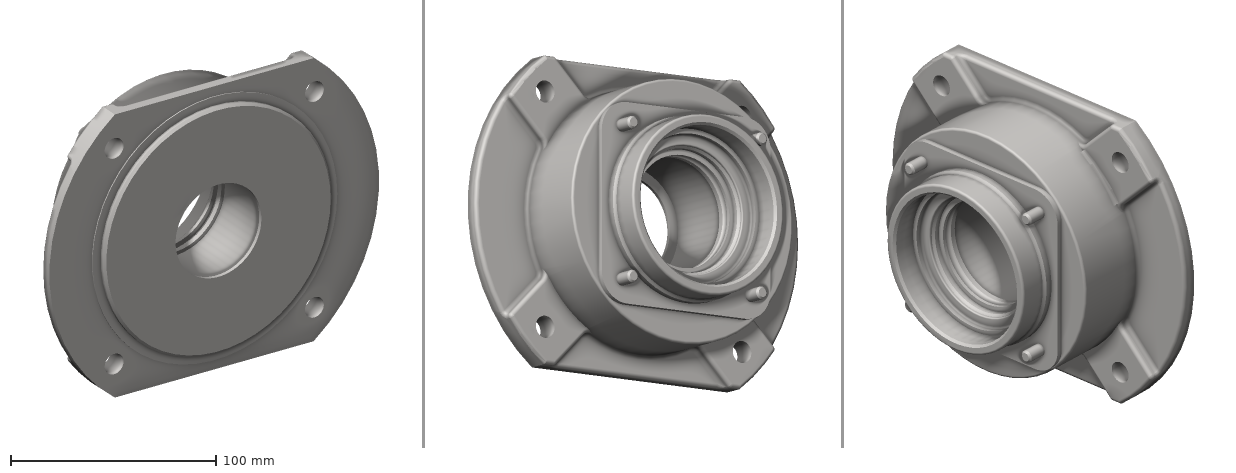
import cadquery as cq
import math


boss_front = 14.2
plate_front = 19.1
drum_front = 22.1
pad_front = 55.6
flange_front = 60.7
flange_back = 67.6
rim_back = 68.2
spigot_back = 71.39

flange_radius = 96.01
flange_half_height = 153.16 / 2
drum_radius = 65.5
drum_edge_radius = 1.3
rim_radius = 71.3
spigot_radius = 66.6
spigot_chamfer = 1.3
cast_radius = 2.0
shaft_bore_radius = 30.0
end_bore_radius = 25.0
end_wall = 2.0
pad_half_width = 17.5
pocket_corner_radius = 5.0
bolt_circle_radius = 82.5
bolt_hole_diameter = 11.0

plate_side = 100.0
plate_corner_radius = 15.0
boss_radius = 46.0
tube_radius = 44.7
tube_edge = 1.3
main_bore_radius = 39.5
bore_chamfer = 1.2

stud_circle_radius = 54.0
stud_radius = 3.2
stud_chamfer = 1.0
stud_front = 8.8
stud_back = 32.0

seal_front = 13.5
seal_back = 31.2
seal_cup_radius = 37.2
seal_cup_floor = 17.1
seal_cup_fillet = 1.1
seal_mouth_radius = 31.8
seal_mouth_rounding = 0.7
seal_cone_front = 18.6
seal_cone_back = 19.8
seal_throat_radius = 30.7
seal_throat_floor = 22.6
lip_radius = 28.0
front_lip_back = 24.4
rear_lip_front = 28.4

diagonal_angles = [45 + 90 * i for i in range(4)]
pocket_angles = [90 * i for i in range(4)]
filleted_pad_angle = 135

tolerance = 0.1


def disc(radius, x_from, x_to):
    return cq.Workplane("YZ", origin=(x_from, 0, 0)).circle(radius).extrude(x_to - x_from)


def on_diagonals(radius):
    """Four (y, z) points on the diagonals at the given distance from the axis."""
    return [
        (radius * math.cos(math.radians(a)), radius * math.sin(math.radians(a)))
        for a in diagonal_angles
    ]


def stud_solids(x_from):
    return (
        cq.Workplane("YZ", origin=(x_from, 0, 0))
        .pushPoints(on_diagonals(stud_circle_radius))
        .circle(stud_radius)
        .extrude(stud_back - x_from)
    )


def limited_height(body):
    """Trim a round body to the flat top and bottom of the flange."""
    height = 2 * flange_half_height
    return body.intersect(cq.Workplane("XY").box(4 * flange_back, 4 * flange_radius, height))


def make_pocket(angle):
    """Cutting tool for the recess between two pads, with rounded corners and foot."""
    reach = 2 * flange_radius
    corner = pad_half_width * math.sqrt(2)
    wedge = (
        cq.Workplane("YZ", origin=(pad_front, 0, 0))
        .transformed(rotate=(0, 0, angle))
        .polyline([(corner, 0), (corner + reach, reach), (corner + reach, -reach)])
        .close()
        .extrude(flange_front - pad_front)
    )
    pocket = wedge.cut(disc(drum_radius, 0, flange_back))

    def is_at_drum(edge):
        center = edge.Center()
        return math.hypot(center.y, center.z) < drum_radius + 1

    def is_inside_flange(edge):
        center = edge.Center()
        turn = math.radians(angle)
        distance = center.y * math.cos(turn) + center.z * math.sin(turn)
        return distance < corner + reach - 1

    drum_corners = [e for e in pocket.edges("|X").vals() if is_at_drum(e)]
    pocket = pocket.newObject(drum_corners).fillet(pocket_corner_radius)
    foot = [e for e in pocket.faces(">X").edges().vals() if is_inside_flange(e)]
    return pocket.newObject(foot).fillet(cast_radius)


def is_pocket_rim(edge):
    """True for the outer edges of the pocket floors."""
    box = edge.BoundingBox()
    middle = edge.positionAt(0.5)
    on_floor = abs(box.xmin - flange_front) < tolerance and abs(box.xmax - flange_front) < tolerance
    on_round_side = math.hypot(middle.y, middle.z) > flange_radius - tolerance
    on_flat_side = abs(middle.z) > flange_half_height - tolerance
    return on_floor and (on_round_side or on_flat_side)


def make_pad_fillet():
    """Fillet between the drum and the flat face of the pad at -Y, +Z."""
    section = (
        cq.Workplane("XY")
        .moveTo(pad_front - cast_radius, drum_radius)
        .radiusArc((pad_front, drum_radius + cast_radius), -cast_radius)
        .lineTo(pad_front, main_bore_radius)
        .lineTo(pad_front - cast_radius, main_bore_radius)
        .close()
    )
    ring = section.revolve(360, (0, 0, 0), (1, 0, 0))
    pad_flat = (
        cq.Workplane("YZ")
        .transformed(rotate=(0, 0, filleted_pad_angle))
        .center(flange_radius / 2, 0)
        .rect(flange_radius, 2 * (pad_half_width - cast_radius))
        .extrude(flange_back)
    )
    return ring.intersect(pad_flat)


def make_housing():
    body = limited_height(disc(flange_radius, pad_front, flange_back))
    for angle in pocket_angles:
        body = body.cut(make_pocket(angle))
    body = body.faces("<X").edges().fillet(cast_radius)
    rims = [e for e in body.edges().vals() if is_pocket_rim(e)]
    body = body.newObject(rims).fillet(cast_radius)

    drum = disc(drum_radius, drum_front, flange_back).faces("<X").edges().fillet(drum_edge_radius)
    body = body.union(drum)
    body = body.union(make_pad_fillet())
    body = body.union(disc(rim_radius, flange_back, rim_back))
    spigot = disc(spigot_radius, flange_back, spigot_back).faces(">X").chamfer(spigot_chamfer)
    body = body.union(spigot)

    body = body.cut(disc(main_bore_radius, 0, seal_back))
    body = body.cut(disc(shaft_bore_radius, 0, spigot_back - end_wall))
    body = body.cut(disc(end_bore_radius, 0, spigot_back))

    holes = (
        cq.Workplane("YZ")
        .pushPoints(on_diagonals(bolt_circle_radius))
        .circle(bolt_hole_diameter / 2)
        .extrude(flange_back)
    )
    return body.cut(holes).cut(stud_solids(plate_front))


def make_cap():
    plate = (
        cq.Workplane("YZ", origin=(plate_front, 0, 0))
        .rect(plate_side, plate_side)
        .extrude(drum_front - plate_front)
        .edges("|X")
        .fillet(plate_corner_radius)
    )
    boss = disc(boss_radius, boss_front, plate_front).faces("<X").chamfer(boss_radius - tube_radius)
    tube = disc(tube_radius, 0, plate_front).faces("<X").edges().fillet(tube_edge)
    cap = plate.union(boss).union(tube).cut(disc(main_bore_radius, 0, drum_front))
    front_circles = cap.faces("<X").edges("%CIRCLE")
    cap = front_circles.edges(cq.selectors.RadiusNthSelector(0)).chamfer(bore_chamfer)
    return cap.cut(stud_solids(plate_front))


def make_seal():
    """Ring with a cupped front, a stepped throat and two lips with a groove between them."""
    profile = (
        cq.Workplane("XY")
        .moveTo(seal_front, main_bore_radius)
        .lineTo(seal_front, seal_cup_radius)
        .lineTo(seal_cup_floor - seal_cup_fillet, seal_cup_radius)
        .radiusArc((seal_cup_floor, seal_cup_radius - seal_cup_fillet), seal_cup_fillet)
        .lineTo(seal_cup_floor, seal_mouth_radius + seal_mouth_rounding)
        .radiusArc((seal_cup_floor + seal_mouth_rounding, seal_mouth_radius), -seal_mouth_rounding)
        .lineTo(seal_cone_front, seal_mouth_radius)
        .lineTo(seal_cone_back, seal_throat_radius)
        .lineTo(seal_throat_floor, seal_throat_radius)
        .lineTo(seal_throat_floor, lip_radius)
        .lineTo(front_lip_back, lip_radius)
        .lineTo(front_lip_back, seal_throat_radius)
        .lineTo(rear_lip_front - seal_throat_radius + lip_radius, seal_throat_radius)
        .lineTo(rear_lip_front, lip_radius)
        .lineTo(seal_back, lip_radius)
        .lineTo(seal_back, main_bore_radius)
        .close()
    )
    return profile.revolve(360, (0, 0, 0), (1, 0, 0))


housing = make_housing()
cap = make_cap()
seal = make_seal()
studs = stud_solids(stud_front).faces("<X").chamfer(stud_chamfer)

result = cq.Compound.makeCompound([housing.val(), cap.val(), seal.val(), *studs.vals()])